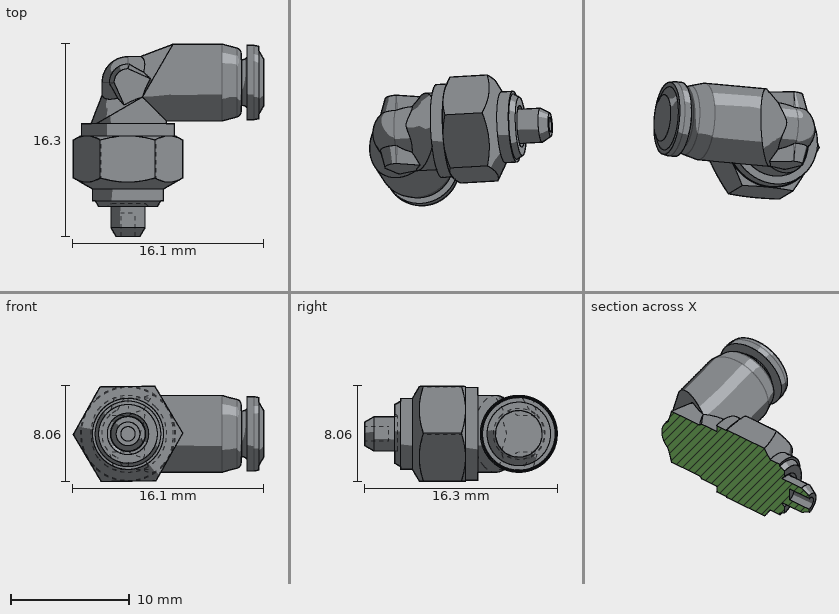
import cadquery as cq
import math


BODY_RADIUS = 3.25
KNUCKLE_RADIUS = 2.2
CUT_ANGLE = 30.0
CUT_MITER = 1.22
APEX_OFFSET = 1.8
TIP_SCALE = 0.15

PAD_HEIGHT = 3.02
PAD_RADIUS = 1.17
PAD_SIDE = (-0.33, -1.88)
PAD_DRAFT = 15.0

ARM_BAR_START = 4.4
ARM_CONE_START = 7.94
ARM_CONE_ANGLE = 15.0
ARM_END = 9.55
ARM_END_FILLET = 0.5
NECK_RADIUS = 1.94
NECK_FLARE_START = 9.65
NECK_FLARE_RADIUS = 2.15
RING_START = 10.03
RING_TAPER_START = 10.62
RING_STEP = 11.04
RING_END = 11.45
RING_RADIUS = 3.15
RING_STEP_RADIUS = 3.06
RING_CHAMFER_RADIUS = 2.68
RING_END_RADIUS = 1.97

FLANGE_RADIUS = 3.93
FLANGE_TOP = -3.46
HEX_TOP = -4.49
HEX_FLATS = 8.0
HEX_TURN = 0.7
HEX_BEVEL = 30.0
COLLAR_TOP = -8.98
COLLAR_STEP = -9.97
COLLAR_END = -10.47
COLLAR_RADIUS = 3.0
COLLAR_STEP_RADIUS = 2.77
COLLAR_END_RADIUS = 2.48
COUNTERSINK_RADIUS = 1.75
COUNTERSINK_FLOOR_RADIUS = 1.49
COUNTERSINK_DEPTH = 0.25
PIN_RADIUS = 1.45
PIN_CONE_START = -12.23
PIN_END = -13.0
PIN_END_RADIUS = 1.0
PIN_HOLE_RADIUS = 0.61
PIN_HOLE_DEPTH = 2.0


CUT_SLOPE = math.tan(math.radians(CUT_ANGLE))
CUT_CENTER_Y = -CUT_MITER * (1 + CUT_SLOPE)


def swap_arms(shape):
    """Reflect across the plane y = -x, which swaps the stem arm and the tube arm."""
    return shape.mirror((1, 1, 0))


def oblique_section(scale):
    """Elliptical section of the stem arm on its oblique cut, shrunk toward the apex."""
    angle = math.radians(CUT_ANGLE)
    return cq.Wire.makeEllipse(
        scale * BODY_RADIUS / math.cos(angle),
        scale * BODY_RADIUS,
        cq.Vector(-APEX_OFFSET * (1 - scale), CUT_CENTER_Y * scale, 0),
        cq.Vector(-math.sin(angle), math.cos(angle), 0),
        cq.Vector(math.cos(angle), math.sin(angle), 0),
    )


def make_stem_arm():
    """Cylinder cut obliquely at the elbow and closed by an oblique cone."""
    cut_rise = CUT_SLOPE * BODY_RADIUS
    cut_block = (
        cq.Workplane("XY")
        .moveTo(-BODY_RADIUS, HEX_TOP)
        .lineTo(BODY_RADIUS, HEX_TOP)
        .lineTo(BODY_RADIUS, CUT_CENTER_Y + cut_rise)
        .lineTo(-BODY_RADIUS, CUT_CENTER_Y - cut_rise)
        .close()
        .extrude(BODY_RADIUS, both=True)
    )
    bar = cq.Workplane("XZ").circle(BODY_RADIUS).extrude(2 * BODY_RADIUS, both=True)
    cone = cq.Solid.makeLoft([oblique_section(1), oblique_section(TIP_SCALE)], True)
    return cut_block.intersect(bar).union(cone)


def make_knuckle():
    """Rounded outer corner: two round bars meeting at a ball."""
    stem_bar = cq.Workplane("XZ").circle(KNUCKLE_RADIUS).extrude(BODY_RADIUS)
    ball = cq.Workplane("XY").sphere(KNUCKLE_RADIUS)
    return ball.union(stem_bar).union(swap_arms(stem_bar))


def make_pad():
    """Drafted pad from the mid plane up to its flat top."""
    side_x, side_y = PAD_SIDE
    arc_middle = PAD_RADIUS * math.sqrt(0.5)
    outline = (
        cq.Workplane("XY", origin=(0, 0, PAD_HEIGHT))
        .moveTo(side_x, side_y)
        .lineTo(-PAD_RADIUS, 0)
        .threePointArc((-arc_middle, arc_middle), (0, PAD_RADIUS))
        .lineTo(-side_y, -side_x)
        .lineTo(CUT_MITER, -CUT_MITER)
        .close()
    )
    return outline.extrude(-PAD_HEIGHT, taper=-PAD_DRAFT)


def make_tube_arm():
    """The oblique elbow end shared with the stem arm, then a turned outline along X."""
    cone_angle = math.radians(ARM_CONE_ANGLE)
    fillet_start = ARM_END - ARM_END_FILLET * (1 - math.sin(cone_angle))
    fillet_start_radius = BODY_RADIUS - (fillet_start - ARM_CONE_START) * math.tan(cone_angle)
    fillet_center_radius = fillet_start_radius - ARM_END_FILLET * math.cos(cone_angle)
    fillet_middle = (math.pi / 2 - cone_angle) / 2
    arm_outline = (
        cq.Workplane("XY")
        .moveTo(ARM_BAR_START, 0)
        .lineTo(ARM_BAR_START, BODY_RADIUS)
        .lineTo(ARM_CONE_START, BODY_RADIUS)
        .lineTo(fillet_start, fillet_start_radius)
        .threePointArc(
            (
                ARM_END - ARM_END_FILLET * (1 - math.cos(fillet_middle)),
                fillet_center_radius + ARM_END_FILLET * math.sin(fillet_middle),
            ),
            (ARM_END, fillet_center_radius),
        )
        .lineTo(ARM_END, NECK_RADIUS)
        .lineTo(NECK_FLARE_START, NECK_RADIUS)
        .tangentArcPoint((RING_START, NECK_FLARE_RADIUS), relative=False)
        .lineTo(RING_START, RING_RADIUS)
        .lineTo(RING_TAPER_START, RING_RADIUS)
        .lineTo(RING_STEP, RING_STEP_RADIUS)
        .lineTo(RING_STEP, RING_CHAMFER_RADIUS)
        .lineTo(RING_END, RING_END_RADIUS)
        .lineTo(RING_END, 0)
        .close()
    )
    turned_part = arm_outline.revolve(360, (0, 0, 0), (1, 0, 0))
    return swap_arms(make_stem_arm()).union(turned_part)


def make_hexagon():
    """Hexagon with conical bevels, a corner pointing along X before the small turn."""
    corner_radius = HEX_FLATS / math.sqrt(3)
    bevel_slope = math.tan(math.radians(HEX_BEVEL))
    top_bevel = (corner_radius - HEX_FLATS / 2) * bevel_slope
    bottom_bevel = (corner_radius - COLLAR_RADIUS) * bevel_slope
    prism = (
        cq.Workplane("XZ", origin=(0, HEX_TOP, 0))
        .polygon(6, 2 * corner_radius)
        .extrude(HEX_TOP - COLLAR_TOP)
    )
    bevels = (
        cq.Workplane("XY")
        .moveTo(0, HEX_TOP)
        .lineTo(HEX_FLATS / 2, HEX_TOP)
        .lineTo(corner_radius, HEX_TOP - top_bevel)
        .lineTo(corner_radius, COLLAR_TOP + bottom_bevel)
        .lineTo(COLLAR_RADIUS, COLLAR_TOP)
        .lineTo(0, COLLAR_TOP)
        .close()
        .revolve(360, (0, 0, 0), (0, 1, 0))
    )
    return prism.intersect(bevels).rotate((0, 0, 0), (0, 1, 0), -HEX_TURN)


def make_stem_end():
    """Flange above the hexagon; collar, countersink and pin below it."""
    flange = (
        cq.Workplane("XZ", origin=(0, FLANGE_TOP, 0))
        .circle(FLANGE_RADIUS)
        .extrude(FLANGE_TOP - HEX_TOP)
    )
    tip_outline = (
        cq.Workplane("XY")
        .moveTo(0, COLLAR_TOP)
        .lineTo(COLLAR_RADIUS, COLLAR_TOP)
        .lineTo(COLLAR_RADIUS, COLLAR_STEP)
        .lineTo(COLLAR_STEP_RADIUS, COLLAR_STEP)
        .lineTo(COLLAR_END_RADIUS, COLLAR_END)
        .lineTo(COUNTERSINK_RADIUS, COLLAR_END)
        .lineTo(COUNTERSINK_FLOOR_RADIUS, COLLAR_END + COUNTERSINK_DEPTH)
        .lineTo(PIN_RADIUS, COLLAR_END + COUNTERSINK_DEPTH)
        .lineTo(PIN_RADIUS, PIN_CONE_START)
        .lineTo(PIN_END_RADIUS, PIN_END)
        .lineTo(PIN_HOLE_RADIUS, PIN_END)
        .lineTo(PIN_HOLE_RADIUS, PIN_END + PIN_HOLE_DEPTH)
        .lineTo(0, PIN_END + PIN_HOLE_DEPTH)
        .close()
    )
    tip = tip_outline.revolve(360, (0, 0, 0), (0, 1, 0))
    return flange.union(make_hexagon()).union(tip)


upper_pad = make_pad()
lower_pad = upper_pad.mirror("XY")
result = (
    make_stem_arm()
    .union(make_tube_arm())
    .union(make_knuckle())
    .union(upper_pad)
    .union(lower_pad)
    .union(make_stem_end())
)